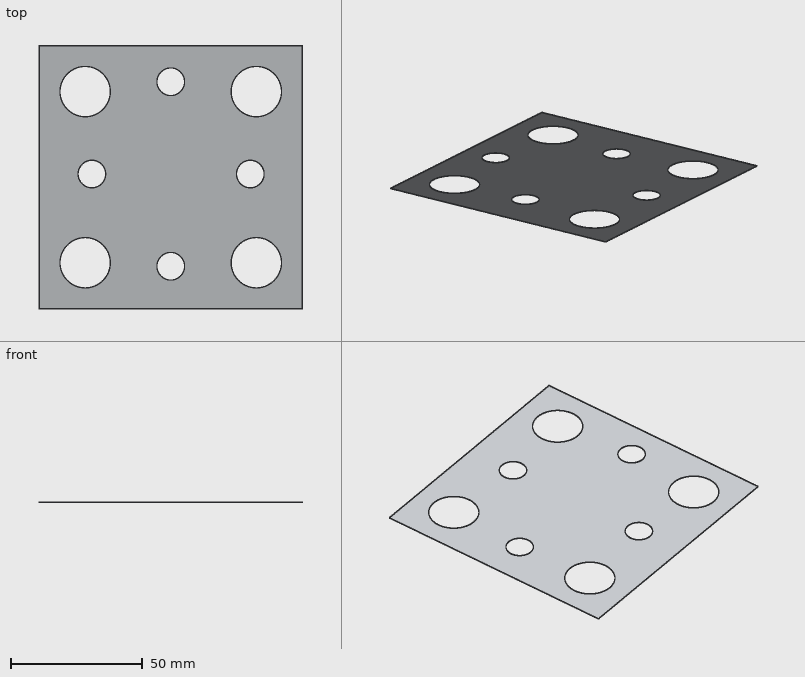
import cadquery as cq

plate_side = 100.0
plate_thickness = 0.25

large_hole_diameter = 19.05
large_hole_spacing = 65.04

small_hole_diameter = 10.41
cross_centre_y = 1.2
side_pair_spacing = 60.2
side_pair_centre_x = 0.13
end_pair_spacing = 70.1


def make_plate():
    return cq.Workplane("XY").box(
        plate_side, plate_side, plate_thickness, centered=(True, True, False)
    )


def drill_large_holes(plate):
    return (
        plate.faces(">Z")
        .workplane(origin=(0, 0, 0))
        .rarray(large_hole_spacing, large_hole_spacing, 2, 2)
        .hole(large_hole_diameter)
    )


def drill_small_holes(plate):
    cross_points = []
    for direction in (-1, 1):
        side_x = side_pair_centre_x + direction * side_pair_spacing / 2
        end_y = cross_centre_y + direction * end_pair_spacing / 2
        cross_points.append((side_x, cross_centre_y))
        cross_points.append((0, end_y))
    return (
        plate.faces(">Z")
        .workplane(origin=(0, 0, 0))
        .pushPoints(cross_points)
        .hole(small_hole_diameter)
    )


plate = make_plate()
plate = drill_large_holes(plate)
result = drill_small_holes(plate)